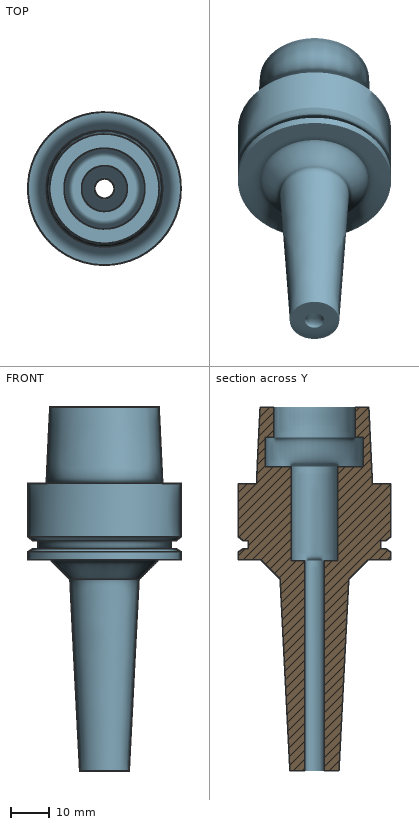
import cadquery as cq

total_length = 95.0
neck_top = 50.1
flange_bottom = 55.1
lower_rim_height = 2.1
groove_bottom = 58.0
groove_top = 60.0
upper_rim_bottom = 61.2
shoulder = 75.05

flange_radius = 40.0 / 2
groove_radius = 17.4
lip_radius = 18.6
shank_base_radius = 15.2
shank_end_radius = 14.25
cone_radius = 14.1
neck_radius = 9.0
nose_radius = 6.5

mouth_radius = 10.5
mouth_depth = 8.0
undercut_radius = 12.7
socket_depth = 15.6
screw_bore_radius = 6.0
screw_bore_depth = 40.0
through_radius = 2.52


def revolve_profile(points):
    """Turn a closed (radius, height) outline about the Z axis."""
    return cq.Workplane("XZ").polyline(points).close().revolve(360, (0, 0), (0, 1))


def make_body():
    return revolve_profile([
        (0, 0),
        (nose_radius, 0),
        (neck_radius, neck_top),
        (cone_radius, flange_bottom),
        (flange_radius, flange_bottom),
        (flange_radius, flange_bottom + lower_rim_height),
        (lip_radius, groove_bottom),
        (groove_radius, groove_bottom),
        (groove_radius, groove_top),
        (lip_radius, groove_top),
        (flange_radius, upper_rim_bottom),
        (flange_radius, shoulder),
        (shank_base_radius, shoulder),
        (shank_end_radius, total_length),
        (0, total_length),
    ])


def make_bore():
    mouth_bottom = total_length - mouth_depth
    socket_floor = total_length - socket_depth
    screw_bore_floor = total_length - screw_bore_depth
    return revolve_profile([
        (0, 0),
        (through_radius, 0),
        (through_radius, screw_bore_floor),
        (screw_bore_radius, screw_bore_floor),
        (screw_bore_radius, socket_floor),
        (undercut_radius, socket_floor),
        (undercut_radius, mouth_bottom),
        (mouth_radius, mouth_bottom),
        (mouth_radius, total_length),
        (0, total_length),
    ])


result = make_body().cut(make_bore())